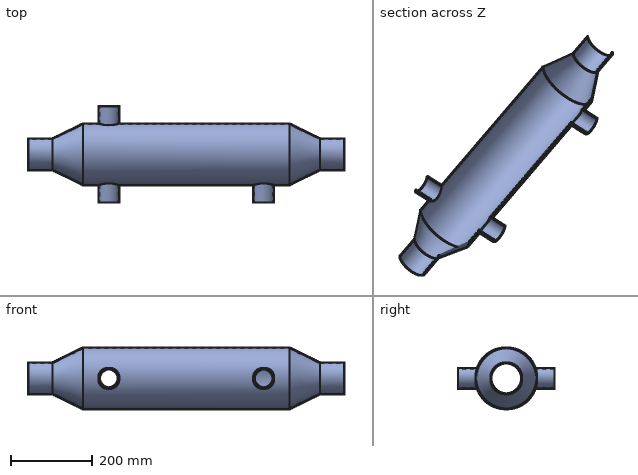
import cadquery as cq

total_length = 776.0
nozzle_span = 237.18

wall = 2.5
body_diameter = 152.0
neck_diameter = 78.5
neck_length = 60.0
cone_length = 75.0

nozzle_outer_diameter = 52.0
nozzle_bore_diameter = 44.0
nozzle_offset = 190.0

FRONT = -1
BACK = 1
nozzles = [
    (-nozzle_offset, FRONT),
    (-nozzle_offset, BACK),
    (nozzle_offset, FRONT),
]


def vessel_solid(body_radius, neck_radius):
    """Solid of revolution about X: neck, cone, body, cone, neck."""
    end_x = total_length / 2
    cone_small_x = end_x - neck_length
    cone_large_x = cone_small_x - cone_length
    return (
        cq.Workplane("XZ")
        .moveTo(-end_x, 0)
        .lineTo(-end_x, neck_radius)
        .lineTo(-cone_small_x, neck_radius)
        .lineTo(-cone_large_x, body_radius)
        .lineTo(cone_large_x, body_radius)
        .lineTo(cone_small_x, neck_radius)
        .lineTo(end_x, neck_radius)
        .lineTo(end_x, 0)
        .close()
        .revolve(360, (0, 0, 0), (1, 0, 0))
    )


def nozzle_cylinder(x, side, diameter):
    """Cylinder from the vessel axis out to the nozzle end on the given side."""
    return (
        cq.Workplane("XZ")
        .center(x, 0)
        .circle(diameter / 2)
        .extrude(-side * nozzle_span / 2)
    )


outside = vessel_solid(body_diameter / 2, neck_diameter / 2)
inside = vessel_solid(body_diameter / 2 - wall, neck_diameter / 2 - wall)

for x, side in nozzles:
    outside = outside.union(nozzle_cylinder(x, side, nozzle_outer_diameter))

result = outside.cut(inside)
for x, side in nozzles:
    result = result.cut(nozzle_cylinder(x, side, nozzle_bore_diameter))